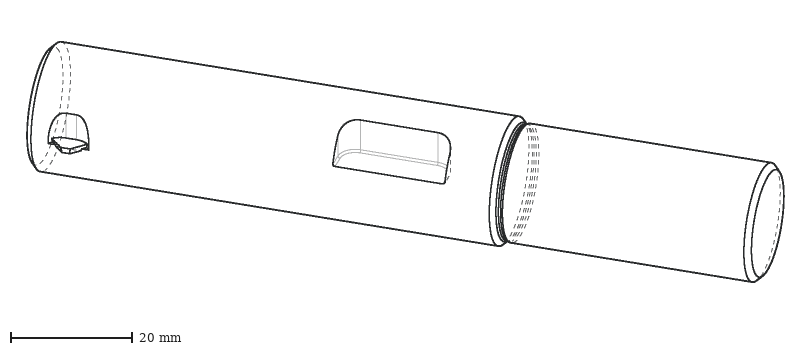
import cadquery as cq

length = 125.0
body_diameter = 21.8
shank_diameter = 20.0
neck_diameter = 19.6
body_length = 81.1
neck_taper = 0.4
neck_length = 0.4
end_chamfer = 1.0

pocket_length = 19.4
pocket_center_x = 62.6
pocket_wall_y = -4.4
pocket_floor_z = 3.9
pocket_corner_radius = 3.0
pocket_floor_fillet = 0.4

tooth_center_x = 7.5
tooth_tip_y = -12.6
tooth_root_y = -8.8
tooth_tip_width = 1.6
tooth_relief_angle = 15
tooth_top_z = 0.5
tooth_bottom_z = -0.6
chip_floor_z = -0.2
chip_wall_y = -9.5
chip_wall_width = 1.9
chip_corner_radius = 3.1

body_radius = body_diameter / 2
shank_radius = shank_diameter / 2
shoulder_chamfer = body_radius - shank_radius
neck_radius = neck_diameter / 2


def turned_bar():
    """Stepped round bar along X with a tapered relief neck behind the shoulder."""
    neck_start = body_length + neck_taper
    neck_end = neck_start + neck_length
    return (
        cq.Workplane("XY")
        .moveTo(0, 0)
        .lineTo(0, body_radius - end_chamfer)
        .lineTo(end_chamfer, body_radius)
        .lineTo(body_length - shoulder_chamfer, body_radius)
        .lineTo(body_length, shank_radius)
        .lineTo(neck_start, neck_radius)
        .lineTo(neck_end, neck_radius)
        .lineTo(neck_end + neck_taper, shank_radius)
        .lineTo(length - end_chamfer, shank_radius)
        .lineTo(length, shank_radius - end_chamfer)
        .lineTo(length, 0)
        .close()
        .revolve(360, (0, 0, 0), (1, 0, 0))
    )


def open_pocket(center_x, width, wall_y, floor_z, corner_radius):
    """Cutter with a flat floor and rounded back corners, running out past the bar."""
    depth = body_radius + wall_y + corner_radius
    return (
        cq.Workplane("XY", origin=(center_x, wall_y - depth / 2, floor_z))
        .rect(width, depth)
        .extrude(body_diameter)
        .edges("|Z and >Y")
        .fillet(corner_radius)
    )


def cutting_tooth():
    """Thin tooth with 45 degree flanks, relieved inwards below its top face."""
    half_tip = tooth_tip_width / 2
    half_root = half_tip + tooth_root_y - tooth_tip_y
    return (
        cq.Workplane("XY", origin=(tooth_center_x, 0, tooth_top_z))
        .moveTo(-half_root, tooth_root_y)
        .lineTo(-half_tip, tooth_tip_y)
        .lineTo(half_tip, tooth_tip_y)
        .lineTo(half_root, tooth_root_y)
        .close()
        .extrude(tooth_bottom_z - tooth_top_z, taper=tooth_relief_angle)
    )


side_pocket = open_pocket(
    pocket_center_x, pocket_length, pocket_wall_y, pocket_floor_z, pocket_corner_radius
)
side_pocket = side_pocket.faces("<Z").edges("not <Y").fillet(pocket_floor_fillet)
chip_pocket_width = chip_wall_width + 2 * chip_corner_radius
chip_pocket = open_pocket(
    tooth_center_x, chip_pocket_width, chip_wall_y, chip_floor_z, chip_corner_radius
)

result = turned_bar().cut(side_pocket).cut(chip_pocket).union(cutting_tooth())